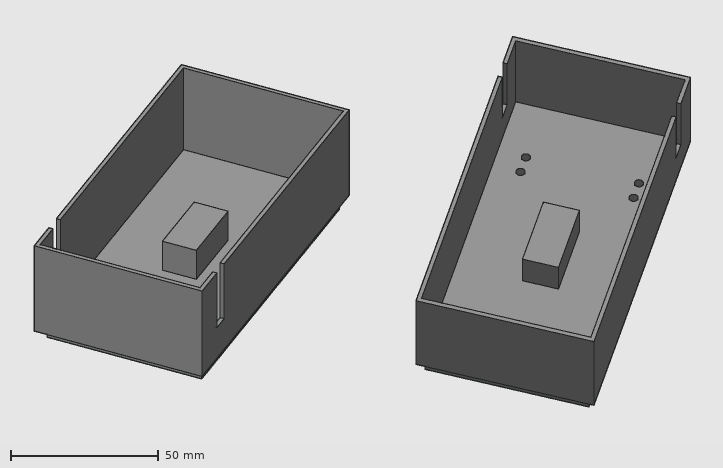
import cadquery as cq

tray_width = 63.0
tray_length = 118.0
tray_height = 35.5
wall = 1.5
floor_thickness = 1.5

step_height = 2.5
neck_inset = 5.0
flange_inset = 2.5

block_width = 12.7
block_length = 25.5
block_height = 12.0
block_center_y = 2.8

slot_width = 5.9
slot_depth = 22.8
slot_end_distance = 11.8

hole_diameter = 3.1
hole_spacing_x = 40.0
hole_spacing_y = 6.5
hole_center_y = -32.3

tray_bottom = 2 * step_height
floor_top = tray_bottom + floor_thickness
rim_top = tray_bottom + tray_height


def box_on(width, length, height, bottom, center_y=0):
    """Box centred on X, with its underside at the given height."""
    return (
        cq.Workplane("XY", origin=(0, center_y, bottom))
        .box(width, length, height, centered=(True, True, False))
    )


def make_tray():
    outside = box_on(tray_width, tray_length, tray_height, tray_bottom)
    cavity = box_on(tray_width - 2 * wall, tray_length - 2 * wall, tray_height, floor_top)
    return outside.cut(cavity)


def make_base():
    neck_length = tray_length - 2 * neck_inset
    neck = box_on(tray_width - 2 * neck_inset, neck_length, step_height, step_height)
    overhang = neck_inset - flange_inset
    flange = box_on(
        tray_width - 2 * flange_inset, neck_length + overhang, step_height, 0, overhang / 2
    )
    return neck.union(flange)


def make_slots():
    center_y = -tray_length / 2 + slot_end_distance + slot_width / 2
    return box_on(tray_width, slot_width, slot_depth, rim_top - slot_depth, center_y)


def make_holes():
    return (
        cq.Workplane("XY", origin=(0, hole_center_y, 0))
        .rarray(hole_spacing_x, hole_spacing_y, 2, 2)
        .circle(hole_diameter / 2)
        .extrude(floor_top)
    )


block = box_on(block_width, block_length, block_height, floor_top, block_center_y)

result = make_tray().cut(make_slots()).union(make_base()).union(block).cut(make_holes())